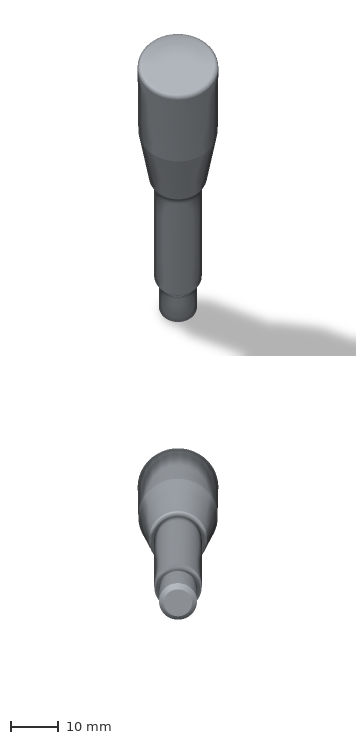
import cadquery as cq
import math

total_length = 87.0
shoulder_z = 12.0
grip_bottom_z = 47.15
grip_waist_z = 64.0

stud_radius = 8.0 / 2
tip_chamfer = 1.05
neck_radius = 6.5 / 2
undercut_arc_radius = 1.05
undercut_width = 1.9
shank_radius = 10.0 / 2

grip_max_radius = 17.0 / 2
grip_waist_radius = 8.35
grip_bottom_radius = 6.1
grip_top_fillet = 0.9
grip_bottom_fillet = 0.5

neck_z = shoulder_z - undercut_arc_radius
stud_top_z = shoulder_z - undercut_width

quarter_arc_inset = 1 - math.sqrt(0.5)


def make_shaft():
    """Stud, undercut and plain shank, revolved about Z."""
    arc_inset = undercut_arc_radius * quarter_arc_inset
    profile = (
        cq.Workplane("XZ")
        .moveTo(0, 0)
        .lineTo(stud_radius - tip_chamfer, 0)
        .lineTo(stud_radius, tip_chamfer)
        .lineTo(stud_radius, stud_top_z)
        .lineTo(neck_radius, neck_z)
        .threePointArc(
            (neck_radius + arc_inset, shoulder_z - arc_inset),
            (neck_radius + undercut_arc_radius, shoulder_z),
        )
        .lineTo(shank_radius, shoulder_z)
        .lineTo(shank_radius, grip_bottom_z)
        .lineTo(0, grip_bottom_z)
        .close()
    )
    return profile.revolve(360, (0, 0, 0), (0, 1, 0))


def make_grip():
    """Grip with a slight upper taper and a steeper one towards the shank."""
    barrel_end_z = total_length - grip_top_fillet
    fillet_inset = grip_top_fillet * quarter_arc_inset
    fillet_middle = (grip_max_radius - fillet_inset, total_length - fillet_inset)
    profile = (
        cq.Workplane("XZ")
        .moveTo(0, grip_bottom_z)
        .lineTo(grip_bottom_radius, grip_bottom_z)
        .lineTo(grip_waist_radius, grip_waist_z)
        .lineTo(grip_max_radius, barrel_end_z)
        .threePointArc(fillet_middle, (grip_max_radius - grip_top_fillet, total_length))
        .lineTo(0, total_length)
        .close()
    )
    grip = profile.revolve(360, (0, 0, 0), (0, 1, 0))
    return grip.faces("<Z").edges().fillet(grip_bottom_fillet)


result = make_shaft().union(make_grip())